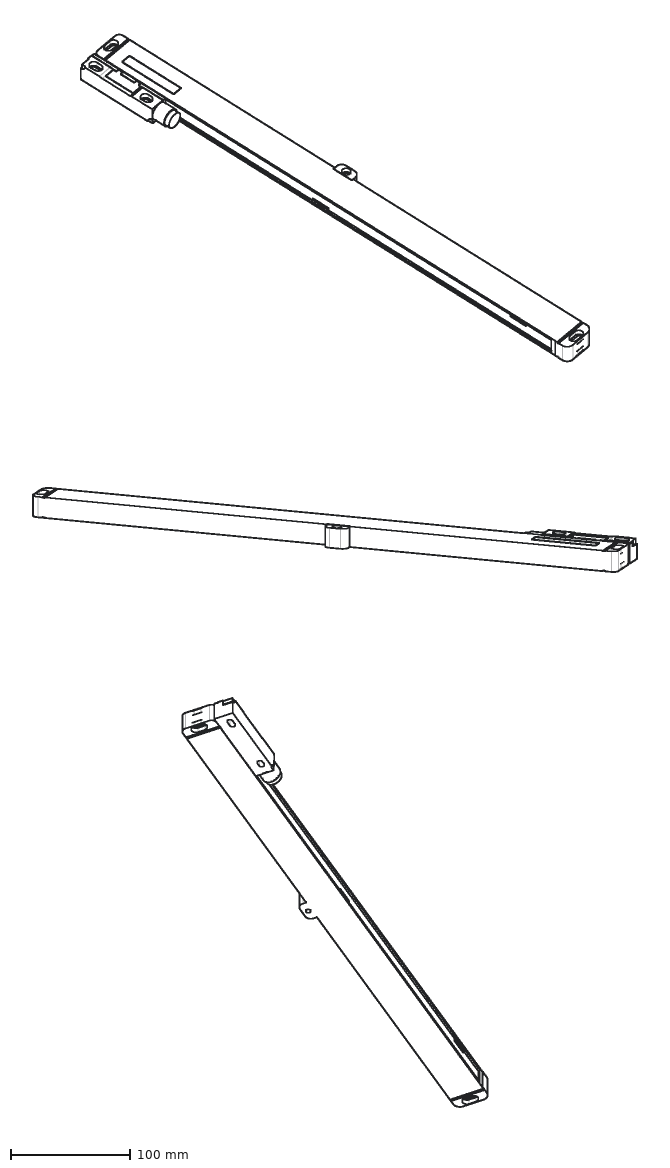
import cadquery as cq

LENGTH = 525.0
HEIGHT = 18.0
HOUSING_DEPTH = 31.5
TOP_STEP = 0.5

LEFT_CORNER_RADIUS = 4.5
RIGHT_CORNER_RADIUS = 6.5
CAP_JOINT_START = 10.5
CAP_JOINT_WIDTH = 1.5
CAP_HOLE_INSET = 4.5
CAP_HOLE_Y = 16.5
CAP_SLOT_STRAIGHT = 6.5
CAP_SLOT_WIDTH = 4.0
CAP_BORE_WIDTH = 8.0
CAP_BORE_DEPTH = 4.5

FRONT_STEP_INSET = 14.0
FRONT_STEP = 0.25
CHANNEL_INSET = 19.0
LIP_HEIGHT = 2.0
CHANNEL_DEPTH = 2.0
PAD_LENGTH = 17.5
PAD_HEIGHT = 4.5
PAD_THICKNESS = 1.5
UPPER_PAD_X = 469.5

LABEL_START = 24.0
LABEL_LENGTH = 57.0
LABEL_Y = 8.0
LABEL_WIDTH = 9.5

LUG_X = 249.5
LUG_LENGTH = 20.5
LUG_REACH = 8.5
LUG_ROOT = 1.5
LUG_CORNER_RADIUS = 5.0
LUG_HOLE_OFFSET = 3.0
LUG_HOLE_DIAMETER = 4.0
LUG_BORE_DIAMETER = 8.0
LUG_BORE_DEPTH = 4.5

HEAD_LENGTH = 79.5
HEAD_DEPTH = 17.5
HEAD_LEDGE_DEPTH = 3.0
DIP_DEPTH = 0.5
DIP_START = 20.5
DIP_END = 56.5
DIP_LEFT_RAMP = 3.0
DIP_RIGHT_RAMP = 1.5
PANEL_WIDTH = 10.0
PANEL_END_GAP = 0.5
LEDGE_POCKET_LENGTH = 4.5
LEDGE_POCKET_STARTS = (27.5, 47.0)
HEAD_HOLE_Y = -10.5
HEAD_HOLES = ((11.0, 4.5), (67.0, 3.0))
HEAD_SLOT_WIDTH = 4.5
HEAD_BORE_WIDTH = 8.0
HEAD_BORE_DEPTH = 4.5
CORNER_NOTCH_RADIUS = 4.5
CORNER_NOTCH_DEPTH = 0.8
SIDE_NOTCH_LENGTH = 9.5

OUTLET_Y = -8.5
OUTLET_DIAMETER = 17.0
OUTLET_LENGTH = 12.5
OUTLET_TIP_DIAMETER = 14.5
OUTLET_TIP_LENGTH = 4.5


def block(x, y, z, length, depth, height):
    """Box given by its lowest corner and its sizes along X, Y and Z."""
    return cq.Workplane("XY").box(length, depth, height, centered=False).translate((x, y, z))


def slot_cutter(x, y, z, straight, width, height, angle):
    """Upright round-ended prism starting at height z."""
    return (
        cq.Workplane("XY")
        .workplane(offset=z)
        .center(x, y)
        .slot2D(straight + width, width, angle)
        .extrude(height)
    )


def upright_cylinder(x, y, z, diameter, height):
    return cq.Workplane("XY").workplane(offset=z).center(x, y).circle(diameter / 2).extrude(height)


def housing_blank():
    body = block(0, 0, 0, LENGTH, HOUSING_DEPTH, HEIGHT)
    body = body.edges("|Z and <X").fillet(LEFT_CORNER_RADIUS)
    return body.edges("|Z and >X").fillet(RIGHT_CORNER_RADIUS)


def cap_cutters():
    """Joint grooves, slots and counterbores of both end caps, alike on top and bottom."""
    cutters = []
    for groove_x in (CAP_JOINT_START, LENGTH - CAP_JOINT_START - CAP_JOINT_WIDTH):
        for z in (0, HEIGHT - TOP_STEP):
            cutters.append(block(groove_x, 0, z, CAP_JOINT_WIDTH, HOUSING_DEPTH, TOP_STEP))
    for hole_x in (CAP_HOLE_INSET, LENGTH - CAP_HOLE_INSET):
        cutters.append(slot_cutter(hole_x, CAP_HOLE_Y, 0, CAP_SLOT_STRAIGHT, CAP_SLOT_WIDTH, HEIGHT, 90))
        for z in (0, HEIGHT - CAP_BORE_DEPTH):
            cutters.append(
                slot_cutter(hole_x, CAP_HOLE_Y, z, CAP_SLOT_STRAIGHT, CAP_BORE_WIDTH, CAP_BORE_DEPTH, 90)
            )
    return cutters


def front_channel():
    """Shallow channel in the front face, less the two pads left standing on its floor."""
    length = LENGTH - 2 * CHANNEL_INSET
    channel = block(CHANNEL_INSET, 0, LIP_HEIGHT, length, CHANNEL_DEPTH, HEIGHT - 2 * LIP_HEIGHT)
    pad_y = CHANNEL_DEPTH - PAD_THICKNESS
    for pad_x, pad_z in ((LUG_X, 0), (UPPER_PAD_X, HEIGHT - PAD_HEIGHT)):
        pad = block(pad_x - PAD_LENGTH / 2, pad_y, pad_z, PAD_LENGTH, PAD_THICKNESS, PAD_HEIGHT)
        channel = channel.cut(pad)
    return channel


def mounting_lug():
    root_y = HOUSING_DEPTH - LUG_ROOT
    lug = block(LUG_X - LUG_LENGTH / 2, root_y, 0, LUG_LENGTH, LUG_ROOT + LUG_REACH, HEIGHT - TOP_STEP)
    return lug.edges("|Z and >Y").fillet(LUG_CORNER_RADIUS)


def make_housing():
    body = housing_blank()
    for cutter in cap_cutters():
        body = body.cut(cutter)
    front_length = LENGTH - 2 * FRONT_STEP_INSET
    body = body.cut(block(FRONT_STEP_INSET, 0, 0, front_length, FRONT_STEP, HEIGHT))
    body = body.cut(front_channel())
    body = body.cut(block(LABEL_START, LABEL_Y, HEIGHT - TOP_STEP, LABEL_LENGTH, LABEL_WIDTH, TOP_STEP))

    seat_x = LUG_X - LUG_LENGTH / 2
    seat_y = HOUSING_DEPTH - LUG_ROOT
    body = body.cut(block(seat_x, seat_y, HEIGHT - TOP_STEP, LUG_LENGTH, LUG_ROOT, TOP_STEP))
    body = body.union(mounting_lug())
    hole_y = HOUSING_DEPTH + LUG_HOLE_OFFSET
    body = body.cut(upright_cylinder(LUG_X, hole_y, 0, LUG_HOLE_DIAMETER, HEIGHT))
    bore_z = HEIGHT - LUG_BORE_DEPTH
    return body.cut(upright_cylinder(LUG_X, hole_y, bore_z, LUG_BORE_DIAMETER, LUG_BORE_DEPTH))


def head_top_dip():
    """Shallow dip with sloping ends across the middle of the head top, open to the front."""
    floor_z = HEIGHT - DIP_DEPTH
    return (
        cq.Workplane("XZ")
        .workplane(offset=HEAD_LEDGE_DEPTH)
        .moveTo(DIP_START, HEIGHT)
        .lineTo(DIP_START + DIP_LEFT_RAMP, floor_z)
        .lineTo(DIP_END - DIP_RIGHT_RAMP, floor_z)
        .lineTo(DIP_END, HEIGHT)
        .close()
        .extrude(HEAD_DEPTH - HEAD_LEDGE_DEPTH)
    )


def head_top_cutters():
    """Rear ledge with its pockets, the dip and the panel sunk into the dip."""
    ledge_z = HEIGHT - TOP_STEP
    panel_z = HEIGHT - DIP_DEPTH - TOP_STEP
    cutters = [
        block(0, -HEAD_LEDGE_DEPTH, ledge_z, HEAD_LENGTH, HEAD_LEDGE_DEPTH, TOP_STEP),
        head_top_dip(),
    ]
    panel_x = DIP_START + DIP_LEFT_RAMP + PANEL_END_GAP
    panel_length = DIP_END - DIP_RIGHT_RAMP - PANEL_END_GAP - panel_x
    panel_y = -HEAD_LEDGE_DEPTH - PANEL_WIDTH
    cutters.append(block(panel_x, panel_y, panel_z, panel_length, PANEL_WIDTH, TOP_STEP))
    pocket_z = ledge_z - TOP_STEP
    for x in LEDGE_POCKET_STARTS:
        pocket = block(x, -HEAD_LEDGE_DEPTH, pocket_z, LEDGE_POCKET_LENGTH, HEAD_LEDGE_DEPTH, TOP_STEP)
        cutters.append(pocket)
    return cutters


def head_hole_cutters():
    """Mounting slots along X, counterbored from the top."""
    cutters = []
    bore_z = HEIGHT - HEAD_BORE_DEPTH
    for x, straight in HEAD_HOLES:
        cutters.append(slot_cutter(x, HEAD_HOLE_Y, 0, straight, HEAD_SLOT_WIDTH, HEIGHT, 0))
        cutters.append(slot_cutter(x, HEAD_HOLE_Y, bore_z, straight, HEAD_BORE_WIDTH, HEAD_BORE_DEPTH, 0))
    return cutters


def head_notch_cutters():
    """Shallow round notches at opposite front corners and a shallow notch in the end face."""
    cutters = []
    for x, z in ((0, HEIGHT), (HEAD_LENGTH, 0)):
        cutters.append(
            cq.Workplane("XZ")
            .workplane(offset=HEAD_DEPTH - CORNER_NOTCH_DEPTH)
            .center(x, z)
            .circle(CORNER_NOTCH_RADIUS)
            .extrude(CORNER_NOTCH_DEPTH)
        )
    notch_z = HEIGHT - CORNER_NOTCH_RADIUS
    cutters.append(
        block(0, -HEAD_DEPTH, notch_z, CORNER_NOTCH_DEPTH, SIDE_NOTCH_LENGTH, CORNER_NOTCH_RADIUS)
    )
    return cutters


def cable_outlet():
    return (
        cq.Workplane("YZ")
        .workplane(offset=HEAD_LENGTH)
        .center(OUTLET_Y, HEIGHT / 2)
        .circle(OUTLET_DIAMETER / 2)
        .extrude(OUTLET_LENGTH)
        .faces(">X")
        .workplane()
        .circle(OUTLET_TIP_DIAMETER / 2)
        .extrude(OUTLET_TIP_LENGTH)
    )


def make_reading_head():
    body = block(0, -HEAD_DEPTH, 0, HEAD_LENGTH, HEAD_DEPTH, HEIGHT)
    for cutter in head_top_cutters() + head_hole_cutters() + head_notch_cutters():
        body = body.cut(cutter)
    return body.union(cable_outlet())


housing = make_housing()
reading_head = make_reading_head()

result = cq.Compound.makeCompound([housing.solids().val(), reading_head.solids().val()])